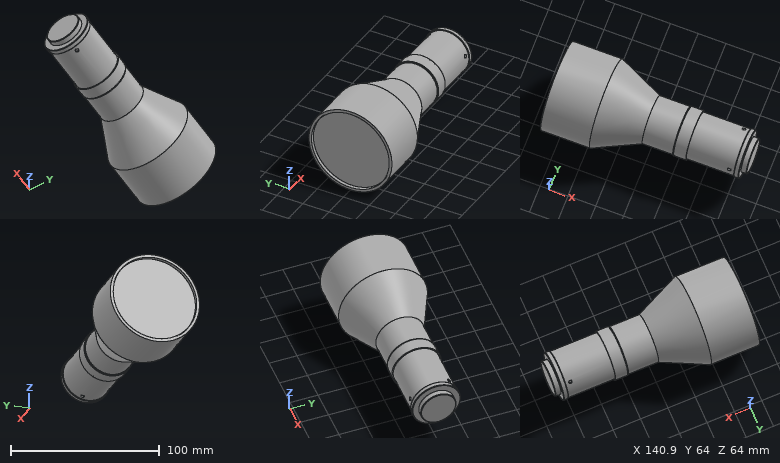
import cadquery as cq

head_end = 35.2
cone_end = 67.5
neck_end = 89.5
ring_start = 90.0
ring_end = 99.0
flange_start = 133.2
flange_end = 136.8
total_length = 140.9

head_diameter = 64.0
recess_diameter = 59.8
neck_diameter = 34.7
ring_diameter = 35.5
barrel_diameter = 33.7
flange_diameter = neck_diameter
spigot_diameter = 25.4

recess_depth = 2.7
edge_chamfer = 0.4
hole_diameter = 2.4
hole_depth = 1.4
hole_station = 129.6
hole_count = 3
first_hole_angle = 45.0


def cylinder(start, end, diameter):
    """Solid cylinder on the X axis between two stations."""
    return cq.Workplane("YZ", origin=(start, 0, 0)).circle(diameter / 2).extrude(end - start)


def cone():
    """Taper from the head down to the neck."""
    profile = [
        (head_end, 0),
        (head_end, head_diameter / 2),
        (cone_end, neck_diameter / 2),
        (cone_end, 0),
    ]
    return cq.Workplane("XY").polyline(profile).close().revolve(360, (0, 0, 0), (1, 0, 0))


def radial_hole(angle):
    """Cutter for a shallow blind hole in the barrel wall."""
    hole_floor = barrel_diameter / 2 - hole_depth
    cutter = (
        cq.Workplane("XZ", origin=(hole_station, hole_floor, 0))
        .circle(hole_diameter / 2)
        .extrude(-2 * hole_depth)
    )
    return cutter.rotate((0, 0, 0), (1, 0, 0), angle)


body = cylinder(0, head_end, head_diameter)
body = body.union(cone())
body = body.union(cylinder(cone_end, neck_end, neck_diameter))
body = body.union(cylinder(neck_end, flange_start, barrel_diameter))
body = body.union(cylinder(ring_start, ring_end, ring_diameter))
body = body.union(cylinder(flange_start, flange_end, flange_diameter).edges().chamfer(edge_chamfer))
spigot = cylinder(flange_end, total_length, spigot_diameter).faces(">X").edges().chamfer(edge_chamfer)
body = body.union(spigot)

body = body.cut(cylinder(0, recess_depth, recess_diameter))

for index in range(hole_count):
    body = body.cut(radial_hole(first_hole_angle + index * 360 / hole_count))

result = body